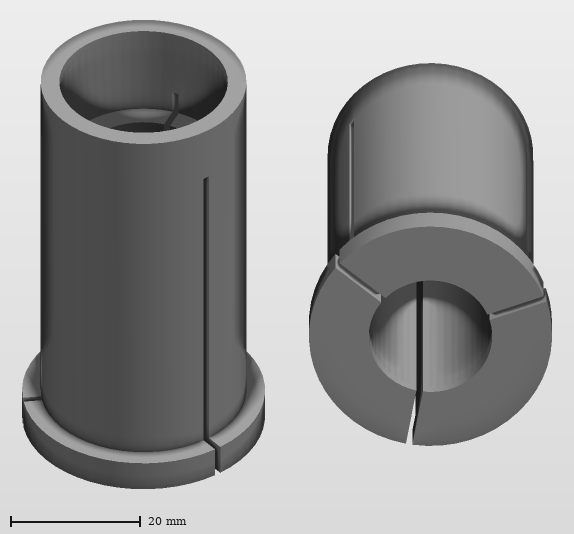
import cadquery as cq

total_height = 64.6
flange_diameter = 37.5
flange_height = 5.0
body_diameter = 31.75

narrow_bore_diameter = 19.05
wide_bore_diameter = 26.0
shoulder_height = 49.6

slot_count = 3
slot_width = 1.0
slot_height = 55.6
slot_end_drop = 2.3
first_slot_angle = 90.0


def make_sleeve():
    """Flanged tube with a stepped bore, standing on its flange."""
    flange = cq.Workplane("XY").circle(flange_diameter / 2).extrude(flange_height)
    body = cq.Workplane("XY").circle(body_diameter / 2).extrude(total_height)
    narrow_bore = cq.Workplane("XY").circle(narrow_bore_diameter / 2).extrude(total_height)
    wide_bore = (
        cq.Workplane("XY")
        .workplane(offset=shoulder_height)
        .circle(wide_bore_diameter / 2)
        .extrude(total_height - shoulder_height)
    )
    return flange.union(body).cut(narrow_bore).cut(wide_bore)


def make_slot(angle):
    """Radial slot from the axis out through the flange rim, its end sloping down toward the axis."""
    body_radius = body_diameter / 2
    wall_thickness = (body_diameter - wide_bore_diameter) / 2
    end_slope = slot_end_drop / wall_thickness
    height_at_axis = slot_height - end_slope * body_radius
    slot_length = flange_diameter
    height_at_tip = slot_height + end_slope * (slot_length - body_radius)
    return (
        cq.Workplane("XZ")
        .polyline([(0, 0), (slot_length, 0), (slot_length, height_at_tip), (0, height_at_axis)])
        .close()
        .extrude(slot_width / 2, both=True)
        .rotate((0, 0, 0), (0, 0, 1), angle)
    )


result = make_sleeve()
for index in range(slot_count):
    result = result.cut(make_slot(first_slot_angle + index * 360.0 / slot_count))